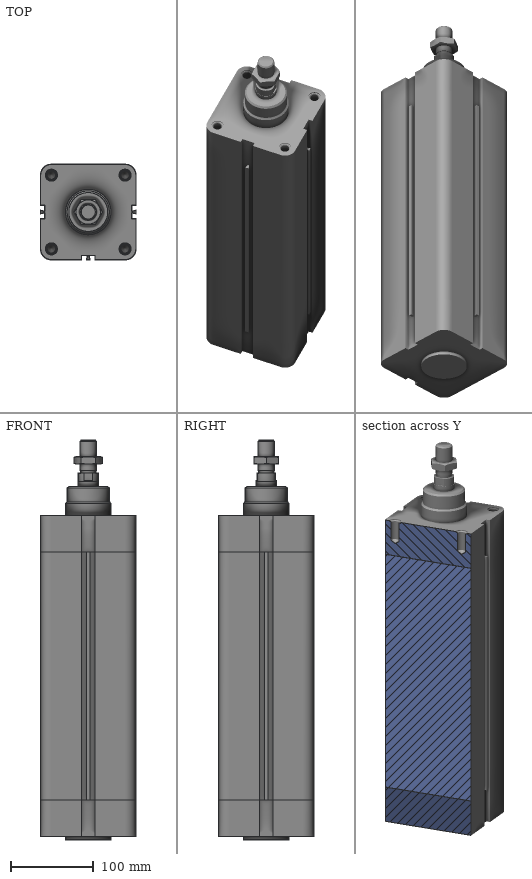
import cadquery as cq
import math


BODY_WIDTH = 115.5
BODY_LENGTH = 388.0
CAP_LENGTH = 44.0
TUBE_LENGTH = BODY_LENGTH - 2 * CAP_LENGTH
SCREW_SPACING = 89.0
CORNER_RADIUS = (BODY_WIDTH - SCREW_SPACING) / 2

GROOVE_WIDTH = 16.0
GROOVE_DEPTH = 5.0
RAIL_OUTER_WIDTH = 4.4
RAIL_ROOT_WIDTH = 2.0
GROOVE_ANGLES = (-90, 0, 180)

SOCKET_DIAMETER = 14.5
SOCKET_DEPTH = 1.0
COUNTERSINK_DIAMETER = 12.0
SCREW_HOLE_DIAMETER = 10.2
SCREW_HOLE_DEPTH = 25.0
DRILL_POINT_ANGLE = 118.0

COLLAR_DIAMETER = 55.0
COLLAR_LENGTH = 16.5
NECK_DIAMETER = 51.0
NECK_TOP = 35.0
NECK_CHAMFER = 2.0
REAR_COLLAR_LENGTH = 4.0

ROD_DIAMETER = 25.0
ROD_SHOULDER = 51.0
FLATS_WIDTH = 22.0
FLATS_LENGTH = 9.0
ROD_TIP_DIAMETER = 24.5
ROD_TIP_LENGTH = 10.0
THREAD_DIAMETER = 20.0
THREAD_LENGTH = 40.0
THREAD_CHAMFER = 1.5
RELIEF_DIAMETER = 18.5
RELIEF_LENGTH = 3.5

HEXAGON_SIDES = 6
NUT_WIDTH = 30.0
NUT_HEIGHT = 9.0
NUT_FACE_DIAMETER = 29.5
NUT_TOP_BELOW_ROD_END = 20.0
NUT_CHAMFER_ANGLE = 20.0

TUBE_BOTTOM = CAP_LENGTH
HEAD_BOTTOM = CAP_LENGTH + TUBE_LENGTH
SHOULDER_Z = BODY_LENGTH + ROD_SHOULDER
ROD_END_Z = SHOULDER_Z + THREAD_LENGTH


def cylinder(diameter, bottom, length):
    return cq.Workplane("XY").workplane(offset=bottom).circle(diameter / 2).extrude(length)


def side_bar(width, inner, outer, bottom, length, angle):
    """Upright bar centred on one side, from the distance inner to the distance outer off the axis."""
    bar = cq.Workplane("XY").box(outer - inner, width, length, centered=(False, True, False))
    return bar.translate((inner, 0, bottom)).rotate((0, 0, 0), (0, 0, 1), angle)


def grooved_block(bottom, length):
    """Rounded square block with the three sensor grooves along its full length."""
    block = cq.Workplane("XY").workplane(offset=bottom).rect(BODY_WIDTH, BODY_WIDTH).extrude(length)
    block = block.edges("|Z").fillet(CORNER_RADIUS)
    side = BODY_WIDTH / 2
    for angle in GROOVE_ANGLES:
        block = block.cut(side_bar(GROOVE_WIDTH, side - GROOVE_DEPTH, side, bottom, length, angle))
    return block


def screw_socket():
    """Counterbored and countersunk blind hole with a drill point, opening at the top of the body."""
    hole_radius = SCREW_HOLE_DIAMETER / 2
    socket_radius = SOCKET_DIAMETER / 2
    point_depth = hole_radius / math.tan(math.radians(DRILL_POINT_ANGLE / 2))
    countersink_radius = COUNTERSINK_DIAMETER / 2
    countersink_bottom = SOCKET_DEPTH + countersink_radius - hole_radius
    outline = (
        cq.Workplane("XZ")
        .moveTo(0, 0)
        .lineTo(socket_radius, 0)
        .lineTo(socket_radius, -SOCKET_DEPTH)
        .lineTo(countersink_radius, -SOCKET_DEPTH)
        .lineTo(hole_radius, -countersink_bottom)
        .lineTo(hole_radius, -SCREW_HOLE_DEPTH)
        .lineTo(0, -SCREW_HOLE_DEPTH - point_depth)
        .close()
    )
    return outline.revolve(360, (0, 0, 0), (0, 1, 0)).translate((0, 0, BODY_LENGTH))


def rail(angle):
    """Dovetail rail standing on the groove floor, widest where it meets the side of the tube."""
    side = BODY_WIDTH / 2
    floor = side - GROOVE_DEPTH
    profile = cq.Workplane("XY").polyline(
        [
            (floor, -RAIL_ROOT_WIDTH / 2),
            (side, -RAIL_OUTER_WIDTH / 2),
            (side, RAIL_OUTER_WIDTH / 2),
            (floor, RAIL_ROOT_WIDTH / 2),
        ]
    ).close()
    return profile.extrude(TUBE_LENGTH).translate((0, 0, TUBE_BOTTOM)).rotate((0, 0, 0), (0, 0, 1), angle)


def make_tube():
    tube = grooved_block(TUBE_BOTTOM, TUBE_LENGTH)
    for angle in GROOVE_ANGLES:
        tube = tube.union(rail(angle))
    return tube


def make_front_cap():
    cap = grooved_block(HEAD_BOTTOM, CAP_LENGTH)
    shoulder_drop = (COLLAR_DIAMETER - NECK_DIAMETER) / 2
    collar = cylinder(COLLAR_DIAMETER, BODY_LENGTH, COLLAR_LENGTH).faces(">Z").chamfer(shoulder_drop)
    neck = cylinder(NECK_DIAMETER, BODY_LENGTH, NECK_TOP).faces(">Z").chamfer(NECK_CHAMFER)
    cap = cap.union(collar).union(neck)
    cap = cap.cut(cylinder(ROD_DIAMETER, HEAD_BOTTOM, CAP_LENGTH + NECK_TOP))
    socket = screw_socket()
    for x in (-SCREW_SPACING / 2, SCREW_SPACING / 2):
        for y in (-SCREW_SPACING / 2, SCREW_SPACING / 2):
            cap = cap.cut(socket.translate((x, y, 0)))
    return cap


def make_rear_cap():
    collar = cylinder(COLLAR_DIAMETER, -REAR_COLLAR_LENGTH, REAR_COLLAR_LENGTH)
    return grooved_block(0, CAP_LENGTH).union(collar)


def make_rod():
    tip_bottom = SHOULDER_Z - ROD_TIP_LENGTH
    shank = cylinder(ROD_DIAMETER, HEAD_BOTTOM, tip_bottom - HEAD_BOTTOM)
    shank = shank.union(cylinder(ROD_TIP_DIAMETER, tip_bottom, ROD_TIP_LENGTH))
    for angle in (-90, 90):
        flat = side_bar(ROD_TIP_DIAMETER, FLATS_WIDTH / 2, ROD_TIP_DIAMETER / 2,
                        SHOULDER_Z - FLATS_LENGTH, FLATS_LENGTH, angle)
        shank = shank.cut(flat)
    relief = cylinder(RELIEF_DIAMETER, SHOULDER_Z, RELIEF_LENGTH)
    thread = cylinder(THREAD_DIAMETER, SHOULDER_Z + RELIEF_LENGTH, THREAD_LENGTH - RELIEF_LENGTH)
    thread = thread.faces(">Z").chamfer(THREAD_CHAMFER)
    return shank.union(relief).union(thread)


def make_nut():
    """Hexagon nut with corners on the X axis, turned down to a cone at both ends."""
    bottom = ROD_END_Z - NUT_TOP_BELOW_ROD_END - NUT_HEIGHT
    across_corners = NUT_WIDTH / math.cos(math.pi / HEXAGON_SIDES)
    chamfer_width = (across_corners - NUT_FACE_DIAMETER) / 2
    chamfer_height = chamfer_width * math.tan(math.radians(NUT_CHAMFER_ANGLE))
    hexagon = cq.Workplane("XY").workplane(offset=bottom).polygon(HEXAGON_SIDES, across_corners)
    hexagon = hexagon.extrude(NUT_HEIGHT)
    envelope = cylinder(across_corners, bottom, NUT_HEIGHT)
    envelope = envelope.faces("<Z or >Z").chamfer(chamfer_height, chamfer_width)
    return hexagon.intersect(envelope).cut(cylinder(THREAD_DIAMETER, bottom, NUT_HEIGHT))


tube = make_tube()
front_cap = make_front_cap()
rear_cap = make_rear_cap()
rod = make_rod()
nut = make_nut()

result = cq.Compound.makeCompound([tube.val(), front_cap.val(), rear_cap.val(), rod.val(), nut.val()])